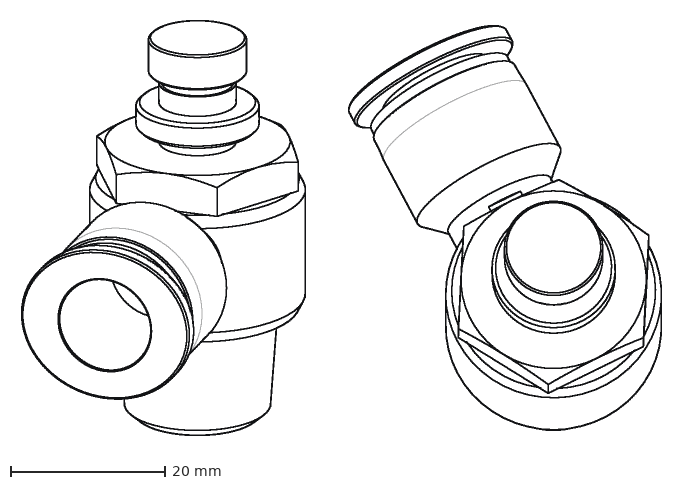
import cadquery as cq
import math


THREAD_TIP_RADIUS = 8.1
THREAD_LOW_RADIUS = 9.5
THREAD_TOP_RADIUS = 10.5
THREAD_CHAMFER_HEIGHT = 1.25

BODY_RADIUS = 14.0
BODY_BOTTOM = 15.05
BODY_TOP = 32.7
BODY_CHAMFER_WIDTH = 0.8
BODY_CHAMFER_HEIGHT = 1.55

HEX_FLATS = 24.0
HEX_CORNERS = HEX_FLATS / math.cos(math.radians(30))
HEX_TOP = 37.75
HEX_CHAMFER_ANGLE = 30

STEM_RADIUS = 5.0
STEM_TOP = 45.95
STEM_NECK_RADIUS = 4.65
RING_RADIUS = 8.0
RING_BOTTOM = 39.8
RING_TOP = 43.2
RING_CHAMFER = 0.45
KNOB_RADIUS = 6.35
KNOB_BOTTOM = 47.35
KNOB_TOP = 52.2
KNOB_CHAMFER = 0.25

PORT_HEIGHT = 25.5
PORT_NECK_RADIUS = 7.5
PORT_RADIUS = 10.5
PORT_CONE_START = 15.4
PORT_CONE_END = PORT_CONE_START + PORT_RADIUS - PORT_NECK_RADIUS
PORT_TAPER_START = 28.0
PORT_TAPER_END = 31.0
PORT_TAPER_RADIUS = 10.35
PORT_LIP_RADIUS = 10.0
PORT_LIP_END = 32.4
NECK_FLAT_REACH = 13.95

COLLAR_START = 33.8
COLLAR_END = 36.0
COLLAR_HALF_WIDTH = 11.55
COLLAR_HALF_HEIGHT = 10.3
COLLAR_CHAMFER = 0.25
BORE_RADIUS = 6.25
BORE_CHAMFER = 0.15
BORE_DEPTH = 19.85


def disc(radius, bottom, top):
    """Solid cylinder on the Z axis between two heights."""
    return cq.Workplane("XY").workplane(offset=bottom).circle(radius).extrude(top - bottom)


def port_plane(distance):
    """Plane across the port, facing -Y, at a distance from the valve axis."""
    return cq.Workplane("XZ", origin=(0, -distance, PORT_HEIGHT))


def make_body():
    """Tapered thread and chamfered round body, revolved about Z."""
    chamfer_radius = BODY_RADIUS - BODY_CHAMFER_WIDTH
    profile = [
        (0, 0),
        (THREAD_TIP_RADIUS, 0),
        (THREAD_LOW_RADIUS, THREAD_CHAMFER_HEIGHT),
        (THREAD_TOP_RADIUS, BODY_BOTTOM),
        (chamfer_radius, BODY_BOTTOM),
        (BODY_RADIUS, BODY_BOTTOM + BODY_CHAMFER_HEIGHT),
        (BODY_RADIUS, BODY_TOP - BODY_CHAMFER_HEIGHT),
        (chamfer_radius, BODY_TOP),
        (0, BODY_TOP),
    ]
    return cq.Workplane("XZ").polyline(profile).close().revolve(360, (0, 0), (0, 1))


def make_hexagon():
    """Hexagon with corners on X, its top corners trimmed by a cone."""
    corner_radius = HEX_CORNERS / 2
    top_radius = HEX_FLATS / 2
    drop = (corner_radius - top_radius) * math.tan(math.radians(HEX_CHAMFER_ANGLE))
    prism = (
        cq.Workplane("XY").workplane(offset=BODY_TOP)
        .polygon(6, HEX_CORNERS).extrude(HEX_TOP - BODY_TOP)
    )
    envelope_profile = [
        (0, BODY_TOP),
        (corner_radius, BODY_TOP),
        (corner_radius, HEX_TOP - drop),
        (top_radius, HEX_TOP),
        (0, HEX_TOP),
    ]
    envelope = cq.Workplane("XZ").polyline(envelope_profile).close().revolve(360, (0, 0), (0, 1))
    return prism.intersect(envelope)


def make_stem():
    """Stem with its locking ring, neck and knob."""
    stem = disc(STEM_RADIUS, HEX_TOP, STEM_TOP)
    ring = disc(RING_RADIUS, RING_BOTTOM, RING_TOP).edges().chamfer(RING_CHAMFER)
    neck = disc(STEM_NECK_RADIUS, STEM_TOP, KNOB_BOTTOM)
    knob = disc(KNOB_RADIUS, KNOB_BOTTOM, KNOB_TOP).edges().chamfer(KNOB_CHAMFER)
    return stem.union(ring).union(neck).union(knob)


def make_port():
    """Port barrel and oval collar, with the neck flattened level with the body top."""
    profile = [
        (0, 0),
        (PORT_NECK_RADIUS, 0),
        (PORT_NECK_RADIUS, -PORT_CONE_START),
        (PORT_RADIUS, -PORT_CONE_END),
        (PORT_RADIUS, -PORT_TAPER_START),
        (PORT_TAPER_RADIUS, -PORT_TAPER_END),
        (PORT_LIP_RADIUS, -PORT_TAPER_END),
        (PORT_LIP_RADIUS, -PORT_LIP_END),
        (PORT_NECK_RADIUS, -PORT_LIP_END),
        (PORT_NECK_RADIUS, -COLLAR_START),
        (0, -COLLAR_START),
    ]
    barrel = (
        cq.Workplane("XY", origin=(0, 0, PORT_HEIGHT))
        .polyline(profile).close().revolve(360, (0, 0), (0, 1))
    )
    collar = (
        port_plane(COLLAR_START)
        .ellipse(COLLAR_HALF_WIDTH, COLLAR_HALF_HEIGHT)
        .extrude(COLLAR_END - COLLAR_START)
        .edges().chamfer(COLLAR_CHAMFER)
    )
    above_body = cq.Workplane("XY").box(
        2 * PORT_NECK_RADIUS, NECK_FLAT_REACH, PORT_NECK_RADIUS, centered=(True, False, False)
    ).translate((0, -NECK_FLAT_REACH, BODY_TOP))
    return barrel.union(collar).cut(above_body)


def make_bore():
    """Blind tube bore with a chamfered mouth."""
    bore = port_plane(COLLAR_END - BORE_DEPTH).circle(BORE_RADIUS).extrude(BORE_DEPTH)
    return bore.union(make_bore_mouth())


def make_bore_mouth():
    """Cone that widens the bore at the collar face."""
    return (
        port_plane(COLLAR_END - BORE_CHAMFER).circle(BORE_RADIUS)
        .workplane(offset=BORE_CHAMFER).circle(BORE_RADIUS + BORE_CHAMFER).loft()
    )


result = make_body().union(make_hexagon()).union(make_stem()).union(make_port()).cut(make_bore())